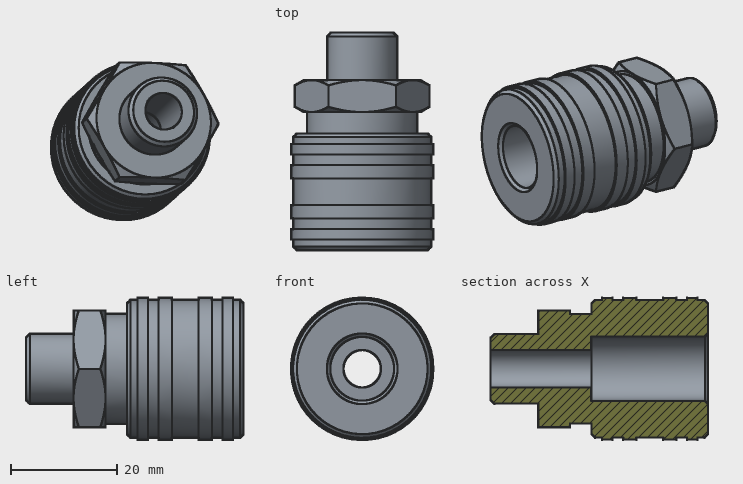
import cadquery as cq
import math

sleeve_length = 22.0
neck_length = 4.0
hex_length = 6.0
spigot_length = 9.0
hex_front = sleeve_length + neck_length
hex_back = hex_front + hex_length
total_length = hex_back + spigot_length

sleeve_diameter = 26.0
sleeve_chamfer = 0.7
grip_ring_diameter = 26.8
grip_rings = [(2.0, 2.0), (6.0, 2.5), (13.5, 2.5), (18.0, 2.0)]

neck_diameter = 20.8
hex_across_flats = 22.0
hex_chamfer_angle = 30.0
spigot_diameter = 13.2
spigot_chamfer = 0.75

socket_diameter = 12.0
socket_depth = sleeve_length
socket_chamfer = 0.65
through_diameter = 7.0


def cylinder(diameter, start, length):
    """Solid cylinder on the Y axis, running from start towards +Y."""
    base = cq.Workplane("XZ", origin=(0, start, 0))
    return base.circle(diameter / 2).extrude(-length)


def make_sleeve():
    sleeve = cylinder(sleeve_diameter, 0, sleeve_length).edges().chamfer(sleeve_chamfer)
    for start, width in grip_rings:
        sleeve = sleeve.union(cylinder(grip_ring_diameter, start, width))
    return sleeve


def make_hexagon():
    """Hexagon with corners on +X and -X, both ends turned to a cone."""
    corner_radius = hex_across_flats / 2 / math.cos(math.pi / 6)
    face_radius = hex_across_flats / 2
    cone_length = (corner_radius - face_radius) * math.tan(math.radians(hex_chamfer_angle))
    base = cq.Workplane("XZ", origin=(0, hex_front, 0))
    prism = base.polygon(6, 2 * corner_radius).extrude(-hex_length)
    turned_blank = (
        cq.Workplane("XY")
        .moveTo(0, hex_front)
        .lineTo(face_radius, hex_front)
        .lineTo(corner_radius, hex_front + cone_length)
        .lineTo(corner_radius, hex_back - cone_length)
        .lineTo(face_radius, hex_back)
        .lineTo(0, hex_back)
        .close()
        .revolve(360, (0, 0, 0), (0, 1, 0))
    )
    return prism.intersect(turned_blank)


def make_spigot():
    spigot = cylinder(spigot_diameter, hex_back, spigot_length)
    return spigot.faces(">Y").edges().chamfer(spigot_chamfer)


def cut_bores(body):
    body = body.cut(cylinder(through_diameter, 0, total_length))
    body = body.cut(cylinder(socket_diameter, 0, socket_depth))
    socket_mouth = body.faces("<Y").edges("%CIRCLE").edges(cq.selectors.RadiusNthSelector(0))
    return socket_mouth.chamfer(socket_chamfer)


neck = cylinder(neck_diameter, sleeve_length, neck_length)
body = make_sleeve().union(neck).union(make_hexagon()).union(make_spigot())
result = cut_bores(body)